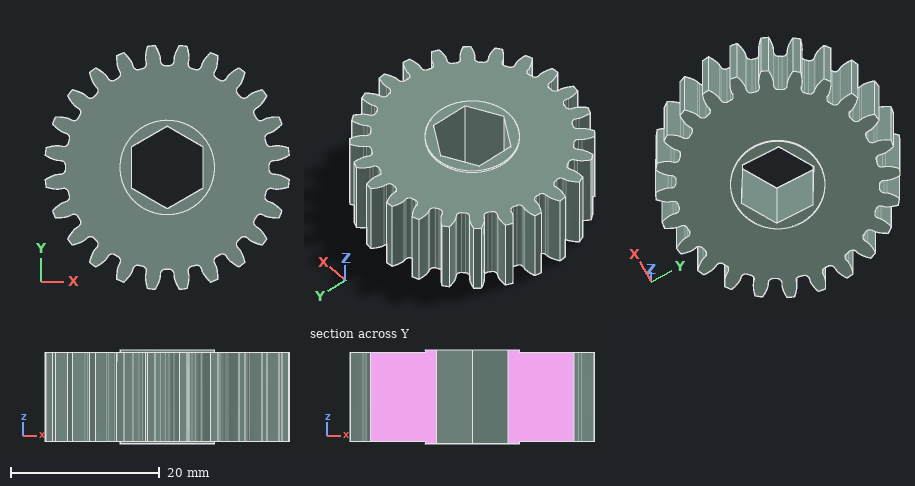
import cadquery as cq
import math

tooth_count = 24
outer_side = 32.85
pressure_angle = math.radians(14.5)
dedendum_factor = 1.2
root_fillet = 0.62
backlash_angle = math.radians(0.3)
flank_points = 6

face_width = 12.03
total_height = 12.65
boss_diameter = 12.72
hex_across_flats = 9.6

pitch_angle = 2 * math.pi / tooth_count


def involute(angle):
    return math.tan(angle) - angle


def half_tooth_angle(radius):
    """Half the angle that a tooth spans at a radius on its involute flank."""
    local_angle = math.acos(min(1.0, base_ratio / radius))
    half_at_pitch = pitch_angle / 4 - backlash_angle / 2
    return half_at_pitch + involute(pressure_angle) - involute(local_angle)


base_ratio = tooth_count / 2 * math.cos(pressure_angle)
tip_ratio = tooth_count / 2 + 1
corner_angle = pitch_angle / 2 - half_tooth_angle(tip_ratio)
module = outer_side / 2 / (tip_ratio * math.cos(corner_angle))
tip_radius = tip_ratio * module
base_radius = base_ratio * module
root_radius = (tooth_count / 2 - dedendum_factor) * module


def polar(radius, angle):
    return (radius * math.cos(angle), radius * math.sin(angle))


def flank(center_angle, side):
    """Points up one involute flank, from the base circle to the tip."""
    points = []
    for i in range(flank_points):
        radius = base_radius + (tip_radius - base_radius) * (i / (flank_points - 1)) ** 2
        points.append(polar(radius, center_angle + side * half_tooth_angle(radius / module)))
    return points


def flank_tangents(center_angle, side):
    """Outward flank directions at the base circle and at the tip; each is inclined by the involute roll."""
    base_direction = center_angle + side * half_tooth_angle(base_ratio)
    tip_pressure_angle = math.acos(base_ratio / tip_ratio)
    tip_direction = center_angle + side * (half_tooth_angle(tip_ratio) - tip_pressure_angle)
    return [polar(1, base_direction), polar(1, tip_direction)]


def gear_body():
    """Toothed blank with tooth spaces on the X and Y axes, radial flanks below the base circle."""
    base_half = half_tooth_angle(base_ratio)
    first_center = pitch_angle / 2
    outline = cq.Workplane("XY").moveTo(*polar(root_radius, first_center - base_half))
    for i in range(tooth_count):
        center = first_center + i * pitch_angle
        rising = flank(center, -1)
        falling = flank(center, 1)[::-1]
        falling_tangents = [(-x, -y) for x, y in flank_tangents(center, 1)[::-1]]
        outline = outline.lineTo(*rising[0])
        outline = outline.spline(rising[1:], tangents=flank_tangents(center, -1), includeCurrent=True)
        outline = outline.threePointArc(polar(tip_radius, center), falling[0])
        outline = outline.spline(falling[1:], tangents=falling_tangents, includeCurrent=True)
        outline = outline.lineTo(*polar(root_radius, center + base_half))
        next_root = polar(root_radius, center + pitch_angle - base_half)
        outline = outline.threePointArc(polar(root_radius, center + pitch_angle / 2), next_root)
    blank = outline.close().extrude(face_width)
    root_limit = (root_radius + base_radius) / 2
    root_edges = [
        edge for edge in blank.edges("|Z").vals()
        if math.hypot(edge.Center().x, edge.Center().y) < root_limit
    ]
    filleted = blank.newObject(root_edges).fillet(root_fillet)
    return filleted.translate((0, 0, -face_width / 2))


def hub():
    """Round boss that stands slightly proud of both gear faces."""
    boss = cq.Workplane("XY").circle(boss_diameter / 2).extrude(total_height)
    return boss.translate((0, 0, -total_height / 2))


def hex_bore():
    """Through bore with two corners on the Y axis."""
    across_corners = hex_across_flats / math.cos(math.pi / 6)
    bore = cq.Workplane("XY").polygon(6, across_corners).extrude(total_height, both=True)
    return bore.rotate((0, 0, 0), (0, 0, 1), 90)


result = gear_body().union(hub()).cut(hex_bore())